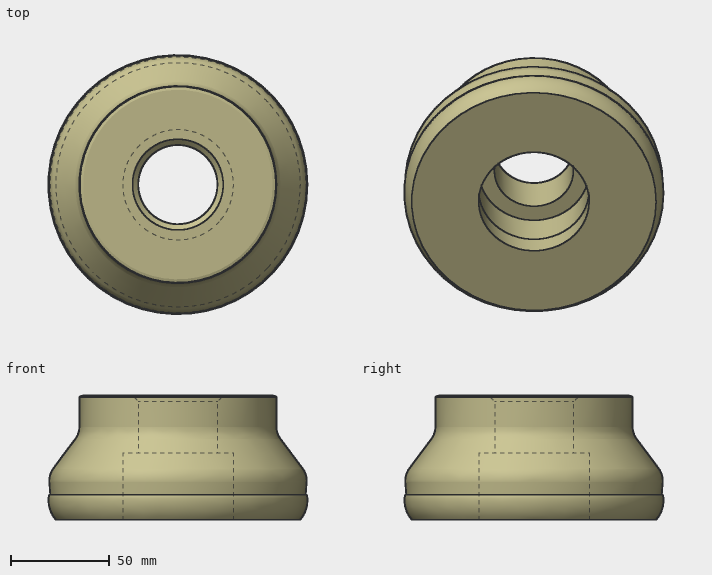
import cadquery as cq
import math

total_height = 63.0
seat_height = 12.8

neck_radius = 50.0
neck_bottom = 47.0
blend_radius = 10.0
shoulder_angle = math.radians(36.8)
shoulder_bottom = 25.85
skirt_taper = math.radians(4.5)

top_face_radius = 48.0
crown_radius = 49.65
crown_drop = 0.45
crown_edge_drop = 0.85

bore_radius = 40.01 / 2
bore_chamfer = 3.0
recess_radius = 56.0 / 2
recess_top = 34.0

pad_bottom_radius = 61.9
pad_lip_control_radius = 66.35
pad_bulge_control = (66.3, 4.42)


def arc_point(center, angle):
    """Point on a blend circle, angle measured up from the outward radius."""
    return (
        center[0] + blend_radius * math.cos(angle),
        center[1] + blend_radius * math.sin(angle),
    )


upper_center = (neck_radius + blend_radius, neck_bottom)
neck_end = arc_point(upper_center, math.pi)
upper_middle = arc_point(upper_center, math.pi + shoulder_angle / 2)
shoulder_start = arc_point(upper_center, math.pi + shoulder_angle)

shoulder_drop = shoulder_start[1] - shoulder_bottom
shoulder_end = (
    shoulder_start[0] + shoulder_drop * math.tan(shoulder_angle),
    shoulder_bottom,
)
lower_center = (
    shoulder_end[0] - blend_radius * math.cos(shoulder_angle),
    shoulder_end[1] - blend_radius * math.sin(shoulder_angle),
)
lower_middle = arc_point(lower_center, (shoulder_angle - skirt_taper) / 2)
skirt_top = arc_point(lower_center, -skirt_taper)
skirt_bottom_radius = skirt_top[0] - (skirt_top[1] - seat_height) * math.tan(skirt_taper)


def make_hub():
    profile = (
        cq.Workplane("XZ")
        .moveTo(bore_radius + bore_chamfer, total_height)
        .lineTo(top_face_radius, total_height)
        .lineTo(crown_radius, total_height - crown_drop)
        .lineTo(neck_radius, total_height - crown_edge_drop)
        .lineTo(*neck_end)
        .threePointArc(upper_middle, shoulder_start)
        .lineTo(*shoulder_end)
        .threePointArc(lower_middle, skirt_top)
        .lineTo(skirt_bottom_radius, seat_height)
        .lineTo(recess_radius, seat_height)
        .lineTo(recess_radius, recess_top)
        .lineTo(bore_radius, recess_top)
        .lineTo(bore_radius, total_height - bore_chamfer)
        .close()
    )
    return profile.revolve(360, (0, 0, 0), (0, 1, 0))


def make_pad():
    outer_side = [
        (skirt_bottom_radius, seat_height),
        (pad_lip_control_radius, seat_height),
        pad_bulge_control,
        (pad_bottom_radius, 0),
    ]
    profile = (
        cq.Workplane("XZ")
        .moveTo(recess_radius, 0)
        .lineTo(recess_radius, seat_height)
        .lineTo(skirt_bottom_radius, seat_height)
        .bezier(outer_side)
        .close()
    )
    return profile.revolve(360, (0, 0, 0), (0, 1, 0))


hub = make_hub()
pad = make_pad()

result = cq.Compound.makeCompound([hub.val(), pad.val()])